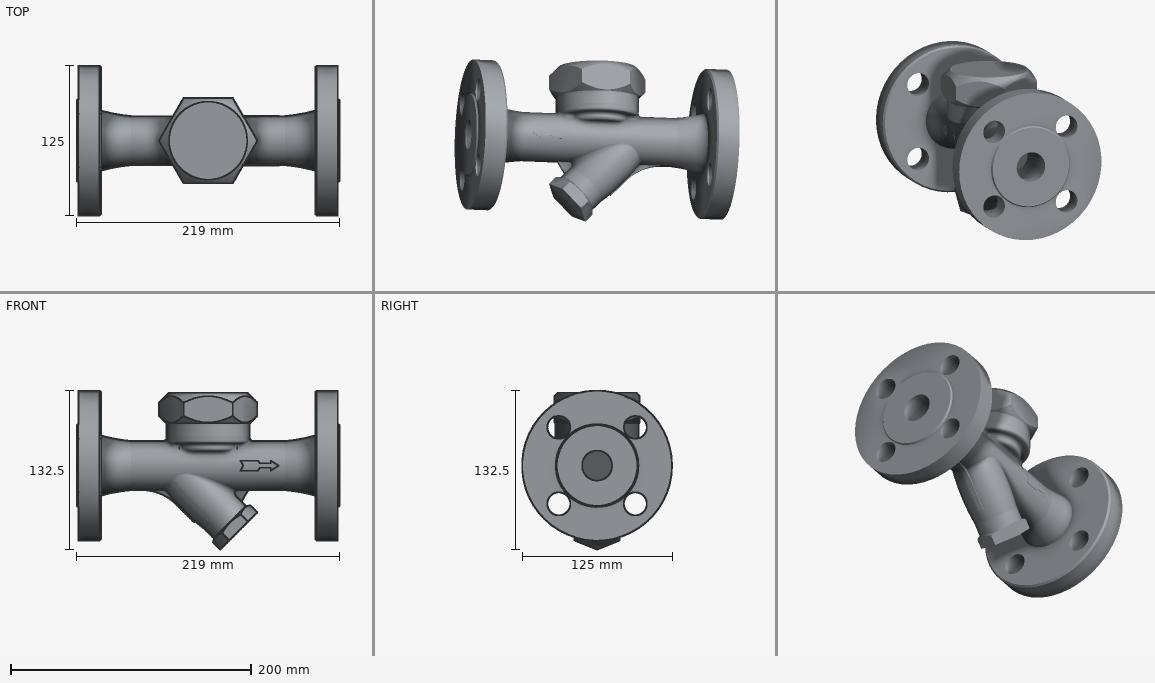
import cadquery as cq
import math

OVERALL_LENGTH = 219.0
FLANGE_DIAMETER = 125.0
FLANGE_THICKNESS = 19.0
FLANGE_EDGE_CHAMFER = 1.5
RAISED_FACE_DIAMETER = 69.0
RAISED_FACE_HEIGHT = 1.5
RAISED_FACE_CHAMFER = 1.0
HUB_DIAMETER = 50.0
HUB_LENGTH = 25.0
HUB_BULGE = 0.6
BOLT_COUNT = 4
BOLT_HOLE_DIAMETER = 19.0
BOLT_CIRCLE_DIAMETER = 90.0

PIPE_DIAMETER = 41.0
BORE_DIAMETER = 25.0

CAP_ACROSS_FLATS = 71.0
CAP_TOP = 60.8
CAP_BOTTOM = 35.1
CAP_FACE_DIAMETER = 65.0
NECK_DIAMETER = 69.5
NECK_BOTTOM = 24.5
DISK_DIAMETER = 69.0
DISK_BOTTOM = 18.6
DISK_ROUND = 2.3
SEAT_DIAMETER = 53.5
SEAT_BOTTOM = 12.0
SEAT_ROUND = 2.9
CASTING_FILLET = 2.7

BRANCH_ANGLE = 45.0
BRANCH_ORIGIN_X = -28.95
BRANCH_LENGTH = 77.0
BRANCH_ROOT_DIAMETER = 35.6
BRANCH_BELLY_DIAMETER = 41.0
BRANCH_BELLY_ALONG = 32.0
BRANCH_END_DIAMETER = 38.0
BRANCH_BARREL_LENGTH = 55.5
PLUG_ACROSS_FLATS = 38.0
PLUG_THICKNESS = 10.5
PLUG_SEAT_DIAMETER = 37.0
PLUG_CHAMFER_ANGLE = 30.0

WEB_THICKNESS = 4.0
WEB_OFFSET = 21.2
WEB_BEND_RADIUS = 40.0
WEB_END = 45.5
GUSSET_REACH_X = 33.5
GUSSET_TIP_X = 28.2
GUSSET_TIP_Z = -29.2

ARROW_TAIL_X = 26.9
ARROW_NOTCH_X = 29.3
ARROW_TAIL_END_X = 41.5
ARROW_SHAFT_X = 43.0
ARROW_HEAD_X = 52.0
ARROW_TIP_X = 58.7
ARROW_HALF_WIDTH = 4.1
ARROW_SHAFT_HALF_WIDTH = 1.9
ARROW_HEIGHT = 0.4

TOLERANCE = 0.02

PIPE_RADIUS = PIPE_DIAMETER / 2
HALF_LENGTH = OVERALL_LENGTH / 2
FLANGE_OUTER_X = HALF_LENGTH - RAISED_FACE_HEIGHT
FLANGE_INNER_X = FLANGE_OUTER_X - FLANGE_THICKNESS
HUB_END_X = FLANGE_INNER_X - HUB_LENGTH
BORE_DEPTH = HALF_LENGTH - HUB_END_X

BRANCH_TILT = math.radians(BRANCH_ANGLE)
BRANCH_DIRECTION = cq.Vector(math.cos(BRANCH_TILT), 0, -math.sin(BRANCH_TILT))
BRANCH_NORMAL = cq.Vector(-math.sin(BRANCH_TILT), 0, -math.cos(BRANCH_TILT))
BRANCH_ORIGIN = cq.Vector(BRANCH_ORIGIN_X, 0, 0)


def hexagon_corner_diameter(across_flats):
    return across_flats / math.cos(math.pi / 6)


def branch_point(along, below):
    """XZ coordinates of a point along the branch axis and below it."""
    point = BRANCH_ORIGIN + BRANCH_DIRECTION * along + BRANCH_NORMAL * below
    return point.x, point.z


def make_right_end():
    """Flange, raised face and flared hub with their bolt holes and bore."""
    flange_radius = FLANGE_DIAMETER / 2
    face_radius = RAISED_FACE_DIAMETER / 2
    hub_radius = HUB_DIAMETER / 2
    hub_middle = ((HUB_END_X + FLANGE_INNER_X) / 2, (PIPE_RADIUS + hub_radius) / 2 - HUB_BULGE)
    bore = cq.Workplane("YZ", origin=(HUB_END_X, 0, 0)).circle(BORE_DIAMETER / 2).extrude(BORE_DEPTH)
    bolt_holes = (
        cq.Workplane("YZ", origin=(FLANGE_INNER_X, 0, 0))
        .polarArray(BOLT_CIRCLE_DIAMETER / 2, 180 / BOLT_COUNT, 360, BOLT_COUNT)
        .circle(BOLT_HOLE_DIAMETER / 2)
        .extrude(FLANGE_THICKNESS)
    )
    turned_end = (
        cq.Workplane("XY")
        .moveTo(HUB_END_X, 0)
        .lineTo(HUB_END_X, PIPE_RADIUS)
        .threePointArc(hub_middle, (FLANGE_INNER_X, hub_radius))
        .lineTo(FLANGE_INNER_X, flange_radius - FLANGE_EDGE_CHAMFER)
        .lineTo(FLANGE_INNER_X + FLANGE_EDGE_CHAMFER, flange_radius)
        .lineTo(FLANGE_OUTER_X, flange_radius)
        .lineTo(FLANGE_OUTER_X, face_radius)
        .lineTo(HALF_LENGTH, face_radius - RAISED_FACE_CHAMFER)
        .lineTo(HALF_LENGTH, 0)
        .close()
        .revolve(360, (0, 0, 0), (1, 0, 0))
    )
    return turned_end.cut(bore).cut(bolt_holes)


def make_seat():
    """Stepped round seat below the neck, with rounded lower edges."""
    disk_radius = DISK_DIAMETER / 2
    seat_radius = SEAT_DIAMETER / 2
    neck_radius = NECK_DIAMETER / 2
    return (
        cq.Workplane("XZ")
        .moveTo(0, SEAT_BOTTOM)
        .lineTo(seat_radius - SEAT_ROUND, SEAT_BOTTOM)
        .radiusArc((seat_radius, SEAT_BOTTOM + SEAT_ROUND), -SEAT_ROUND)
        .lineTo(seat_radius, DISK_BOTTOM)
        .lineTo(disk_radius - DISK_ROUND, DISK_BOTTOM)
        .radiusArc((disk_radius, DISK_BOTTOM + DISK_ROUND), -DISK_ROUND)
        .lineTo(neck_radius, NECK_BOTTOM)
        .lineTo(neck_radius, CAP_BOTTOM)
        .lineTo(0, CAP_BOTTOM)
        .close()
        .revolve(360, (0, 0, 0), (0, 1, 0))
    )


def make_cap():
    """Hexagonal cap with 45 degree conical chamfers on both ends."""
    corner_diameter = hexagon_corner_diameter(CAP_ACROSS_FLATS)
    height = CAP_TOP - CAP_BOTTOM
    face_radius = CAP_FACE_DIAMETER / 2
    under_radius = NECK_DIAMETER / 2
    middle_radius = (face_radius + under_radius + height) / 2
    middle_z = CAP_BOTTOM + middle_radius - under_radius
    prism = cq.Workplane("XY", origin=(0, 0, CAP_BOTTOM)).polygon(6, corner_diameter).extrude(height)
    double_cone = (
        cq.Workplane("XZ")
        .moveTo(0, CAP_BOTTOM)
        .lineTo(under_radius, CAP_BOTTOM)
        .lineTo(middle_radius, middle_z)
        .lineTo(face_radius, CAP_TOP)
        .lineTo(0, CAP_TOP)
        .close()
        .revolve(360, (0, 0, 0), (0, 1, 0))
    )
    return prism.intersect(double_cone)


def branch_plane(along):
    """Plane square to the branch axis; its local X lies in the XZ plane."""
    return cq.Plane(
        origin=(BRANCH_ORIGIN + BRANCH_DIRECTION * along).toTuple(),
        xDir=BRANCH_NORMAL.toTuple(),
        normal=BRANCH_DIRECTION.toTuple(),
    )


def branch_profile():
    """Sketch for turning about the branch: local X is radius, local Y runs along the axis."""
    return cq.Workplane(cq.Plane(BRANCH_ORIGIN.toTuple(), BRANCH_NORMAL.toTuple(), (0, -1, 0)))


def turn_about_branch(profile):
    return profile.close().revolve(360, (0, 0, 0), (0, 1, 0))


def make_branch():
    """Slightly barrel-shaped branch ending in a cylinder."""
    end_radius = BRANCH_END_DIAMETER / 2
    end = BRANCH_LENGTH - PLUG_THICKNESS
    return turn_about_branch(
        branch_profile()
        .moveTo(0, 0)
        .lineTo(BRANCH_ROOT_DIAMETER / 2, 0)
        .threePointArc(
            (BRANCH_BELLY_DIAMETER / 2, BRANCH_BELLY_ALONG),
            (end_radius, BRANCH_BARREL_LENGTH),
        )
        .lineTo(end_radius, end)
        .lineTo(0, end)
    )


def make_plug():
    """Hexagonal plug, chamfered on the side towards the branch."""
    corner_diameter = hexagon_corner_diameter(PLUG_ACROSS_FLATS)
    start = BRANCH_LENGTH - PLUG_THICKNESS
    seat_radius = PLUG_SEAT_DIAMETER / 2
    corner_radius = corner_diameter / 2
    slope = math.tan(math.radians(PLUG_CHAMFER_ANGLE))
    chamfer_height = (corner_radius - seat_radius) * slope
    prism = cq.Workplane(branch_plane(start)).polygon(6, corner_diameter).extrude(PLUG_THICKNESS)
    envelope = turn_about_branch(
        branch_profile()
        .moveTo(0, start)
        .lineTo(seat_radius, start)
        .lineTo(corner_radius, start + chamfer_height)
        .lineTo(corner_radius, BRANCH_LENGTH)
        .lineTo(0, BRANCH_LENGTH)
    )
    return prism.intersect(envelope)


def extrude_web(outline):
    return outline.close().extrude(WEB_THICKNESS / 2, both=True)


def make_lower_web():
    """Web behind the branch, curving off the pipe and running down the branch."""
    corner_along = (PIPE_RADIUS - WEB_OFFSET * math.cos(BRANCH_TILT)) / math.sin(BRANCH_TILT)
    corner_x, corner_z = branch_point(corner_along, WEB_OFFSET)
    tangent_length = WEB_BEND_RADIUS * math.tan(BRANCH_TILT / 2)
    outline = (
        cq.Workplane("XZ")
        .moveTo(BRANCH_ORIGIN_X, 0)
        .lineTo(corner_x - tangent_length, 0)
        .lineTo(corner_x - tangent_length, corner_z)
        .radiusArc(branch_point(corner_along + tangent_length, WEB_OFFSET), WEB_BEND_RADIUS)
        .lineTo(*branch_point(WEB_END, WEB_OFFSET))
        .lineTo(*branch_point(WEB_END, 0))
    )
    return extrude_web(outline)


def make_gusset():
    """Short web in the acute corner between the pipe and the branch."""
    outline = (
        cq.Workplane("XZ")
        .moveTo(BRANCH_ORIGIN_X, 0)
        .lineTo(GUSSET_REACH_X, 0)
        .lineTo(GUSSET_REACH_X, -PIPE_RADIUS)
        .lineTo(GUSSET_TIP_X, GUSSET_TIP_Z)
        .lineTo(*branch_point(BRANCH_BARREL_LENGTH, 0))
    )
    return extrude_web(outline)


def make_arrow():
    """Arrow standing slightly proud of the pipe on its front and back."""
    upper = [
        (ARROW_NOTCH_X, 0),
        (ARROW_TAIL_X, ARROW_HALF_WIDTH),
        (ARROW_TAIL_END_X, ARROW_HALF_WIDTH),
        (ARROW_SHAFT_X, ARROW_SHAFT_HALF_WIDTH),
        (ARROW_HEAD_X, ARROW_SHAFT_HALF_WIDTH),
        (ARROW_HEAD_X, ARROW_HALF_WIDTH),
        (ARROW_TIP_X, 0),
    ]
    lower = [(x, -z) for x, z in reversed(upper[1:-1])]
    arrow_radius = PIPE_RADIUS + ARROW_HEIGHT
    prism = cq.Workplane("XZ").polyline(upper + lower).close().extrude(arrow_radius, both=True)
    sleeve = cq.Workplane("YZ").circle(arrow_radius).extrude(HUB_END_X)
    return prism.intersect(sleeve)


def points_along(edge):
    return [edge.positionAt(fraction) for fraction in (0, 0.25, 0.5, 0.75, 1)]


def is_on_pipe(edge):
    """True for the edges where the seat and the branch leave the pipe."""
    return all(
        abs(math.hypot(point.y, point.z) - PIPE_RADIUS) < TOLERANCE and abs(point.x) < HUB_END_X - TOLERANCE
        for point in points_along(edge)
    )


def is_seat_corner(edge):
    """True for the inside corner between the seat step and the disk."""
    return all(
        abs(math.hypot(point.x, point.y) - SEAT_DIAMETER / 2) < TOLERANCE
        and abs(point.z - DISK_BOTTOM) < TOLERANCE
        for point in points_along(edge)
    )


def make_housing():
    """Pipe with the seat and the branch blended into it."""
    pipe = cq.Workplane("YZ").circle(PIPE_RADIUS).extrude(HUB_END_X, both=True)
    with_branch = pipe.union(make_branch())
    branch_edges = [edge for edge in with_branch.edges().vals() if is_on_pipe(edge)]
    with_branch = with_branch.newObject(branch_edges).fillet(CASTING_FILLET)
    with_seat = pipe.union(make_seat())
    seat_edges = [edge for edge in with_seat.edges().vals() if is_on_pipe(edge) or is_seat_corner(edge)]
    with_seat = with_seat.newObject(seat_edges).fillet(CASTING_FILLET)
    return with_seat.union(with_branch)


right_end = make_right_end()
left_end = right_end.mirror("YZ")
solid = make_housing().union(make_lower_web()).union(make_gusset())
solid = solid.union(right_end).union(left_end)
result = solid.union(make_cap()).union(make_plug()).union(make_arrow())